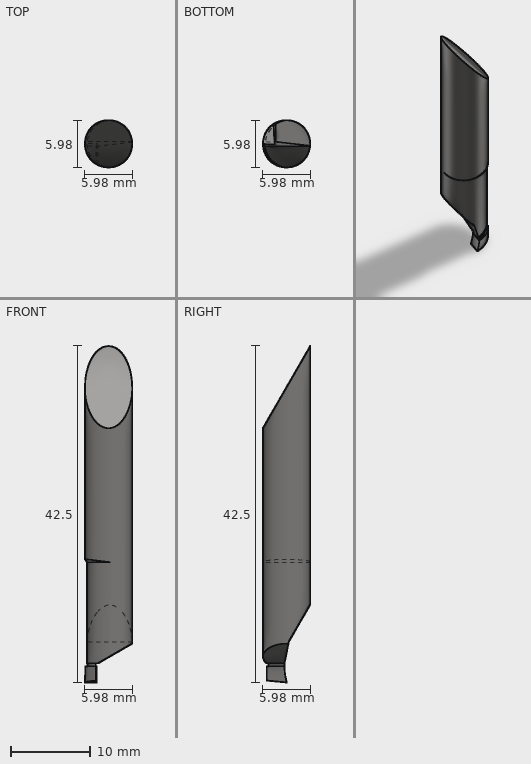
import cadquery as cq
import math

LENGTH = 42.45
RADIUS = 2.99
SPAN = 4 * RADIUS
BEVEL_ANGLE = 60.0
BEVEL_SLOPE = math.tan(math.radians(BEVEL_ANGLE))

RELIEF_SHIFT = 0.25
RELIEF_TOP = 15.2
RELIEF_RUNOUT = 0.4

UNDERSIDE_ANGLE = 30.0
UNDERSIDE_HIGH_Z = 4.92

NECK_TOP = 2.4
NECK_INNER_X = -1.6
NECK_INSET = 0.05
TIP_TOP = 2.05

BEVEL_TOP_Z = 9.85
BEVEL_FOOT_Y = 0.3
BEVEL_FOOT_Z = BEVEL_TOP_Z - (RADIUS - BEVEL_FOOT_Y) * BEVEL_SLOPE
RAKE_ROOT_Y = -0.25
RAKE_BOW_Y = -0.15

EDGE_Y = 0.05
LAND_X = -2.93
LAND_Y = -0.45
BACK_X = -1.635
BACK_Y = -math.sqrt(RADIUS**2 - BACK_X**2)
INNER_X = -1.5
END_RELIEF = 0.25


def cylinder(radius, bottom, top, center_x=0.0):
    return cq.Workplane("XY", origin=(center_x, 0, bottom)).circle(radius).extrude(top - bottom)


def block_along_x(points):
    """Prism across the whole bar from a (Y, Z) outline."""
    return cq.Workplane("YZ").polyline(points).close().extrude(SPAN / 2, both=True)


def top_bevel():
    low_z = LENGTH - 2 * RADIUS * BEVEL_SLOPE
    return block_along_x([(RADIUS, LENGTH), (-RADIUS, low_z), (-RADIUS, LENGTH)])


def relieved_envelope():
    """Eccentric lower cylinder, its conical run-out and the full bar above."""
    runout_top = RELIEF_TOP + RELIEF_RUNOUT
    lower = cylinder(RADIUS, NECK_TOP, RELIEF_TOP, RELIEF_SHIFT)
    cone = cq.Workplane(cq.Solid.makeCone(
        RADIUS, RADIUS + RELIEF_SHIFT, RELIEF_RUNOUT, pnt=cq.Vector(RELIEF_SHIFT, 0, RELIEF_TOP)))
    upper = cylinder(RADIUS, runout_top, LENGTH)
    return lower.union(cone).union(upper)


def underside_cut():
    slope = math.tan(math.radians(UNDERSIDE_ANGLE))
    low_x = RADIUS - (UNDERSIDE_HIGH_Z - NECK_TOP) / slope
    outline = [(low_x, NECK_TOP), (RADIUS, UNDERSIDE_HIGH_Z), (RADIUS, NECK_TOP)]
    return cq.Workplane("XZ").polyline(outline).close().extrude(SPAN / 2, both=True)


def front_face_cut():
    """Material ground off the +Y side, down to the bottom of the tip."""
    return (
        cq.Workplane("YZ")
        .moveTo(EDGE_Y, 0)
        .threePointArc((RAKE_BOW_Y, TIP_TOP / 2), (RAKE_ROOT_Y, TIP_TOP))
        .lineTo(RAKE_ROOT_Y, NECK_TOP)
        .lineTo(BEVEL_FOOT_Y, BEVEL_FOOT_Z)
        .lineTo(RADIUS, BEVEL_TOP_Z)
        .lineTo(SPAN, BEVEL_TOP_Z)
        .lineTo(SPAN, 0)
        .close()
        .extrude(SPAN / 2, both=True)
    )


def neck():
    column = cylinder(RADIUS - NECK_INSET, TIP_TOP, NECK_TOP, RELIEF_SHIFT)
    inner_side = cq.Workplane("XY", origin=(NECK_INNER_X, 0, TIP_TOP)).box(
        SPAN, SPAN, NECK_TOP - TIP_TOP, centered=(False, True, False))
    return column.cut(inner_side)


def make_shank():
    bar = cylinder(RADIUS, NECK_TOP, LENGTH).intersect(relieved_envelope())
    bar = bar.cut(top_bevel()).cut(underside_cut())
    return bar.union(neck()).cut(front_face_cut())


def make_tip():
    mid_angle = (math.atan2(LAND_Y, LAND_X) + math.atan2(BACK_Y, BACK_X)) / 2
    arc_middle = (RADIUS * math.cos(mid_angle), RADIUS * math.sin(mid_angle))
    blank = (
        cq.Workplane("XY")
        .moveTo(-RADIUS, EDGE_Y)
        .lineTo(LAND_X, LAND_Y)
        .threePointArc(arc_middle, (BACK_X, BACK_Y))
        .lineTo(INNER_X, EDGE_Y)
        .close()
        .extrude(TIP_TOP)
    )
    end_relief = block_along_x([(EDGE_Y, 0), (BACK_Y, END_RELIEF), (BACK_Y, 0)])
    return blank.cut(front_face_cut()).cut(end_relief)


shank = make_shank()
tip = make_tip()

result = cq.Compound.makeCompound([shank.solids().val(), tip.solids().val()])